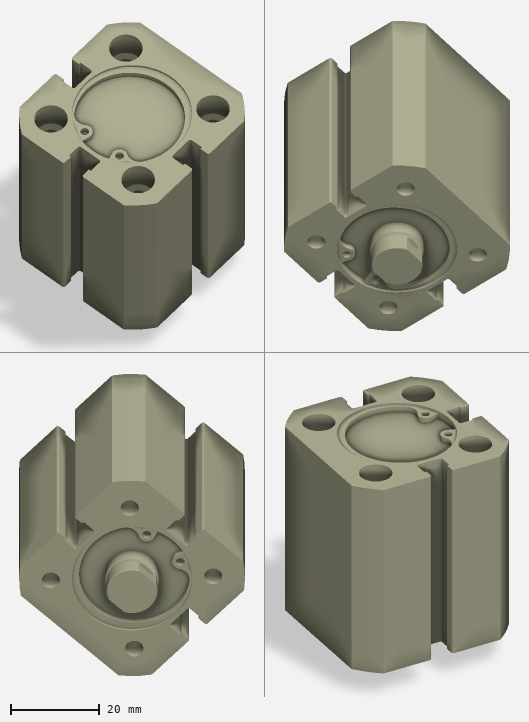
import cadquery as cq
import math

housing_width = 41.0
housing_height = 48.0
half_width = housing_width / 2
corner_radius = 25.5
bore_radius = 13.55

hole_spacing = 25.9
hole_diameter = 4.1
counterbore_diameter = 7.55
counterbore_depth = 7.0

slot_depth = 6.0
slot_width = 6.5
slot_lip_depth = 2.45
slot_mouth_width = 5.4
slot_rounding = 0.5
slot_angles = (-90, 0, 90)

ring_recess = 0.6
ring_thickness = 1.5
ring_outer_diameter = 28.8
ring_outer_radius = ring_outer_diameter / 2
ring_inner_radius = 12.55
ring_inner_offset = 0.85
lug_x = 5.2
lug_y = -10.35
lug_radius = 1.85
lug_hole_diameter = 1.95
lug_blend_radius = 2.9

head_cover_thickness = 6.5
rod_cover_thickness = 10.8
piston_thickness = 10.8
rod_diameter = 12.05
rod_radius = rod_diameter / 2
rod_collar_length = 1.0
rod_shoulder_height = 0.2
rod_tip_radius = 5.7
rod_tip_chamfer = 0.15
overall_height = 54.0
rod_protrusion = overall_height - housing_height
flat_width = 10.1
flat_length = 4.05

ring_end = ring_recess + ring_thickness
head_cover_bottom = housing_height - ring_end - head_cover_thickness
piston_bottom = head_cover_bottom - piston_thickness


def make_slot(angle):
    """Stepped slot over the full height, in the -Y side turned by angle about Z."""
    lip_y = slot_lip_depth - half_width
    floor_y = slot_depth - half_width
    channel = (
        cq.Workplane("XY")
        .center(0, (lip_y + floor_y) / 2)
        .rect(slot_width, floor_y - lip_y)
        .extrude(housing_height)
        .edges("|Z and >Y")
        .fillet(slot_rounding)
    )

    mouth_x = slot_mouth_width / 2
    flare_x = mouth_x + slot_rounding
    flare_y = slot_rounding - half_width
    arc_inset = slot_rounding * (1 - math.sqrt(0.5))
    arc_x = mouth_x + arc_inset
    arc_y = arc_inset - half_width
    mouth = (
        cq.Workplane("XY")
        .moveTo(flare_x, -half_width)
        .threePointArc((arc_x, arc_y), (mouth_x, flare_y))
        .lineTo(mouth_x, lip_y)
        .lineTo(-mouth_x, lip_y)
        .lineTo(-mouth_x, flare_y)
        .threePointArc((-arc_x, arc_y), (-flare_x, -half_width))
        .close()
        .extrude(housing_height)
    )
    slot = channel.union(mouth)
    return slot.rotate((0, 0, 0), (0, 0, 1), angle)


def make_housing(rings):
    """Square profile with round corners, bore, mounting holes, slots and ring grooves."""
    body = cq.Workplane("XY").rect(housing_width, housing_width).extrude(housing_height)
    body = body.intersect(cq.Workplane("XY").circle(corner_radius).extrude(housing_height))
    body = body.cut(cq.Workplane("XY").circle(bore_radius).extrude(housing_height))
    body = (
        body.faces(">Z").workplane(origin=(0, 0, housing_height))
        .rect(hole_spacing, hole_spacing, forConstruction=True).vertices()
        .cboreHole(hole_diameter, counterbore_diameter, counterbore_depth)
    )
    for angle in slot_angles:
        body = body.cut(make_slot(angle))
    for ring in rings:
        body = body.cut(ring)
    return body


def point_between(start, end, distance):
    """Point at the given distance from start along the line to end."""
    share = distance / math.dist(start, end)
    return (start[0] + share * (end[0] - start[0]), start[1] + share * (end[1] - start[1]))


def make_ring(bottom):
    """Open retaining ring with two drilled lugs beside a radial gap on the -Y side."""
    lug = (lug_x, lug_y)
    inner_centre = (0, -ring_inner_offset)

    lug_distance = math.hypot(lug_x, lug_y)
    gap_angle = math.atan2(lug_x, -lug_y) - math.asin(lug_radius / lug_distance)
    gap_direction = (math.sin(gap_angle), -math.cos(gap_angle))
    gap_outer = tuple(ring_outer_radius * part for part in gap_direction)
    gap_length = math.sqrt(lug_distance**2 - lug_radius**2)
    gap_inner = tuple(gap_length * part for part in gap_direction)

    span = math.dist(inner_centre, lug)
    to_blend = ring_inner_radius - lug_blend_radius
    lug_to_blend = lug_radius + lug_blend_radius
    turn = math.acos((span**2 + to_blend**2 - lug_to_blend**2) / (2 * span * to_blend))
    blend_angle = math.atan2(lug_y + ring_inner_offset, lug_x) + turn
    blend = (
        to_blend * math.cos(blend_angle),
        to_blend * math.sin(blend_angle) - ring_inner_offset,
    )
    lug_end = point_between(lug, blend, lug_radius)
    inner_end = point_between(inner_centre, blend, ring_inner_radius)
    blend_chord_middle = ((lug_end[0] + inner_end[0]) / 2, (lug_end[1] + inner_end[1]) / 2)
    blend_middle = point_between(blend, blend_chord_middle, lug_blend_radius)
    lug_chord_middle = ((lug_end[0] + gap_inner[0]) / 2, (lug_end[1] + gap_inner[1]) / 2)
    lug_middle = point_between(lug, lug_chord_middle, lug_radius)

    def mirror(point):
        return (-point[0], point[1])

    ring = (
        cq.Workplane("XY").workplane(offset=bottom)
        .moveTo(*gap_outer)
        .lineTo(*gap_inner)
        .threePointArc(lug_middle, lug_end)
        .threePointArc(blend_middle, inner_end)
        .threePointArc((0, ring_inner_radius - ring_inner_offset), mirror(inner_end))
        .threePointArc(mirror(blend_middle), mirror(lug_end))
        .threePointArc(mirror(lug_middle), mirror(gap_inner))
        .lineTo(*mirror(gap_outer))
        .threePointArc((0, ring_outer_radius), gap_outer)
        .close()
        .extrude(ring_thickness)
    )
    lug_holes = (
        cq.Workplane("XY").workplane(offset=bottom)
        .pushPoints([lug, mirror(lug)])
        .circle(lug_hole_diameter / 2)
        .extrude(ring_thickness)
    )
    return ring.cut(lug_holes)


def make_head_cover():
    """Plain disc closing the bore under the upper ring."""
    return (
        cq.Workplane("XY").workplane(offset=head_cover_bottom)
        .circle(bore_radius)
        .extrude(head_cover_thickness)
    )


def make_rod_cover():
    """Disc above the lower ring that guides the rod."""
    return (
        cq.Workplane("XY").workplane(offset=ring_end)
        .circle(bore_radius)
        .circle(rod_radius)
        .extrude(rod_cover_thickness)
    )


def make_piston_rod():
    """Piston against the head cover, with the rod and its flatted tip below."""
    tip_z = -rod_protrusion
    shoulder_z = -rod_collar_length
    half_profile = [
        (0, tip_z),
        (rod_tip_radius - rod_tip_chamfer, tip_z),
        (rod_tip_radius, tip_z + rod_tip_chamfer),
        (rod_tip_radius, shoulder_z - rod_shoulder_height),
        (rod_radius, shoulder_z),
        (rod_radius, piston_bottom),
        (bore_radius, piston_bottom),
        (bore_radius, head_cover_bottom),
        (0, head_cover_bottom),
    ]
    rod = cq.Workplane("XZ").polyline(half_profile).close().revolve(360, (0, 0, 0), (0, 1, 0))

    flat_y = flat_width / 2
    flat_top = tip_z + flat_length
    slope = rod_radius - flat_y
    flat_outline = [
        (flat_y, tip_z),
        (rod_radius, tip_z),
        (rod_radius, flat_top + slope),
        (flat_y, flat_top),
    ]
    for side in (-1, 1):
        outline = [(side * y, z) for y, z in flat_outline]
        flat = cq.Workplane("YZ").polyline(outline).close().extrude(rod_radius, both=True)
        rod = rod.cut(flat)
    return rod


ring_bottoms = (ring_recess, housing_height - ring_end)
retaining_rings = [make_ring(bottom) for bottom in ring_bottoms]
housing = make_housing(retaining_rings)
head_cover = make_head_cover()
rod_cover = make_rod_cover()
piston_rod = make_piston_rod()

result = cq.Compound.makeCompound([
    housing.val(),
    *[ring.val() for ring in retaining_rings],
    head_cover.val(),
    rod_cover.val(),
    piston_rod.val(),
])